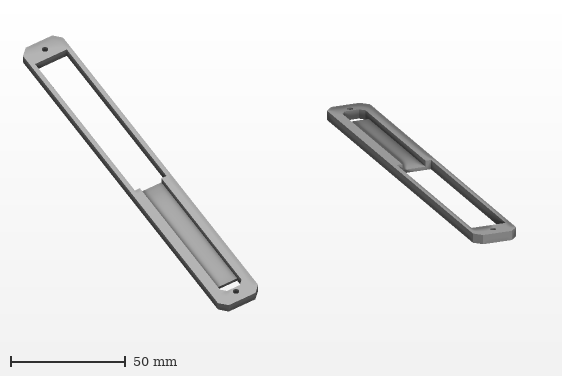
import cadquery as cq

length = 171.4
width = 20.4
thickness = 4.3
corner_chamfer = 3.5

hole_diameter = 2.7
hole_spacing = 161.1

window_start = -75.5
window_end = 8.5
window_width = 16.1

channel_width = 11.0
floor_thickness = 1.5
floor_end = 72.5

opening_end = 78.3
opening_chamfer = 2.2


def box_between(x_start, x_end, box_width, z_bottom):
    """Box centred on Y, from z_bottom up to the top face of the plate."""
    return (
        cq.Workplane("XY", origin=((x_start + x_end) / 2, 0, z_bottom))
        .rect(x_end - x_start, box_width)
        .extrude(thickness - z_bottom)
    )


plate = (
    cq.Workplane("XY")
    .rect(length, width)
    .extrude(thickness)
    .edges("|Z")
    .chamfer(corner_chamfer)
)

window = box_between(window_start, window_end, window_width, 0)
channel = box_between(window_end, floor_end, channel_width, floor_thickness)
opening = (
    box_between(floor_end, opening_end, channel_width, 0)
    .edges("|Z and >X")
    .chamfer(opening_chamfer)
)

screw_holes = (
    cq.Workplane("XY")
    .rarray(hole_spacing, 1.7, 2, 1)
    .circle(hole_diameter / 2)
    .extrude(thickness)
)

result = plate.cut(window).cut(channel).cut(opening).cut(screw_holes)